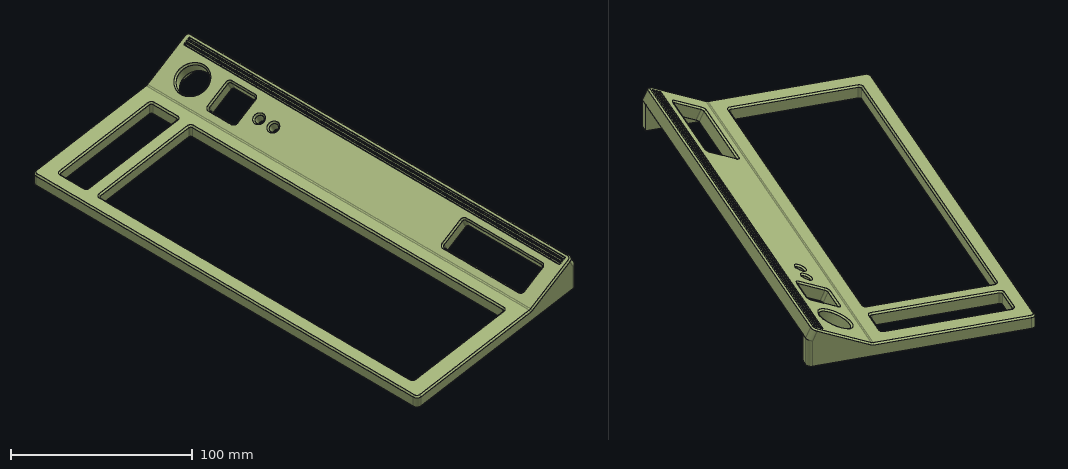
import cadquery as cq
import math

LENGTH = 281.2
DEPTH = 133.3
HEIGHT = 23.5
SHEET = 8.0
SLOPE = 25.0
CORNER_RADIUS = 3.0
BEND_RADIUS = 2.5
CHAMFER = 1.0

MARGIN = 11.8
KEY_SIZE = 19.7
COLUMN_GAP = 9.0
WINDOW_FRONT = 9.5
WINDOW_BACK = 86.3
WINDOW_RADIUS = 1.5

ROW_UP = 15.7
KNOB_DIAMETER = 19.0
LED_DIAMETER = 5.3
LED_X = 70.3
LED_PITCH = 10.5
DISPLAY_WIDTH = 58.0

GROOVE_COUNT = 3
GROOVE_WIDTH = 1.0
GROOVE_DEPTH = 1.0
GROOVE_PITCH = 2.0
GROOVE_ROW_UP = 33.2
GROOVE_END = 3.7

slope_angle = math.radians(SLOPE)
sin_slope = math.sin(slope_angle)
cos_slope = math.cos(slope_angle)
peak_y = DEPTH - SHEET * sin_slope
peak_z = HEIGHT + CHAMFER * sin_slope
bend_y = peak_y - (peak_z - SHEET) / math.tan(slope_angle)
under_bend_y = bend_y + SHEET * math.tan(slope_angle / 2)
back_z = peak_z - SHEET * cos_slope

small_right = MARGIN + KEY_SIZE
main_left = small_right + COLUMN_GAP
main_right = LENGTH - MARGIN

CUT_DEPTH = 2 * SHEET

frame_top = cq.Plane((0, 0, SHEET), (1, 0, 0), (0, 0, 1))
panel_top = cq.Plane((0, bend_y, SHEET), (1, 0, 0), (0, -sin_slope, cos_slope))


def nearest(y, z):
    """Selector for the face or edge nearest to a point in the middle of the length."""
    return cq.selectors.NearestToPointSelector((LENGTH / 2, y, z))


def side_prism(points, start, length):
    """Prism along X from an outline in the YZ plane."""
    return cq.Workplane("YZ", origin=(start, 0, 0)).polyline(points).close().extrude(length)


def make_wedge():
    """Solid wedge-backed block with rounded corners and bevelled top edges."""
    outline = [(0, 0), (DEPTH, 0), (DEPTH, back_z), (peak_y, peak_z), (bend_y, SHEET), (0, SHEET)]
    block = side_prism(outline, 0, LENGTH)

    tilted_back = block.faces(nearest((DEPTH + peak_y) / 2, (back_z + peak_z) / 2))
    block = block.edges("|Z").add(tilted_back.edges("#X")).fillet(CORNER_RADIUS)
    block = block.edges(nearest(bend_y, SHEET)).fillet(BEND_RADIUS)

    return block.edges(nearest(0, SHEET)).chamfer(CHAMFER)


def make_underside():
    """Wedge-shaped hollow under the panel, open below and behind, between two side cheeks."""
    hollow = [(under_bend_y, 0), (DEPTH, back_z), (DEPTH, 0)]
    return side_prism(hollow, SHEET, LENGTH - 2 * SHEET)


def bevelled_opening(top, draw_outline):
    """Cutter through the sheet with a wider tapered rim that bevels its top edge."""
    through = draw_outline(cq.Workplane(top), 0).extrude(-CUT_DEPTH)
    rim = draw_outline(cq.Workplane(top), CHAMFER).extrude(-CHAMFER, taper=45)
    return through.union(rim)


def window(top, left, right, low, high):
    """Cutter for a rectangular opening with rounded corners."""
    def draw_outline(plane, spread):
        outline = cq.Sketch().rect(right - left + 2 * spread, high - low + 2 * spread)
        outline = outline.vertices().fillet(WINDOW_RADIUS + spread)
        return plane.center((left + right) / 2, (low + high) / 2).placeSketch(outline)
    return bevelled_opening(top, draw_outline)


def frame_window(left, right):
    """Cutter for a window in the flat frame."""
    return window(frame_top, left, right, WINDOW_FRONT, WINDOW_BACK)


def panel_window(left, right):
    """Cutter for a rectangular opening on the centre row of the panel."""
    return window(panel_top, left, right, ROW_UP - KEY_SIZE / 2, ROW_UP + KEY_SIZE / 2)


def panel_hole(x, diameter):
    """Cutter for a round hole on the centre row of the panel."""
    def draw_outline(plane, spread):
        return plane.center(x, ROW_UP).circle(diameter / 2 + spread)
    return bevelled_opening(panel_top, draw_outline)


def groove(index):
    """Cutter for one of the parallel grooves below the peak."""
    up = GROOVE_ROW_UP + (index - (GROOVE_COUNT - 1) / 2) * GROOVE_PITCH
    length = LENGTH - 2 * GROOVE_END
    return cq.Workplane(panel_top).center(LENGTH / 2, up).rect(length, GROOVE_WIDTH).extrude(-GROOVE_DEPTH)


cutters = [
    make_underside(),
    frame_window(MARGIN, small_right),
    frame_window(main_left, main_right),
    panel_hole((MARGIN + small_right) / 2, KNOB_DIAMETER),
    panel_window(main_left, main_left + KEY_SIZE),
    panel_hole(LED_X, LED_DIAMETER),
    panel_hole(LED_X + LED_PITCH, LED_DIAMETER),
    panel_window(main_right - DISPLAY_WIDTH, main_right),
]
cutters += [groove(index) for index in range(GROOVE_COUNT)]

result = make_wedge()
for cutter in cutters:
    result = result.cut(cutter)